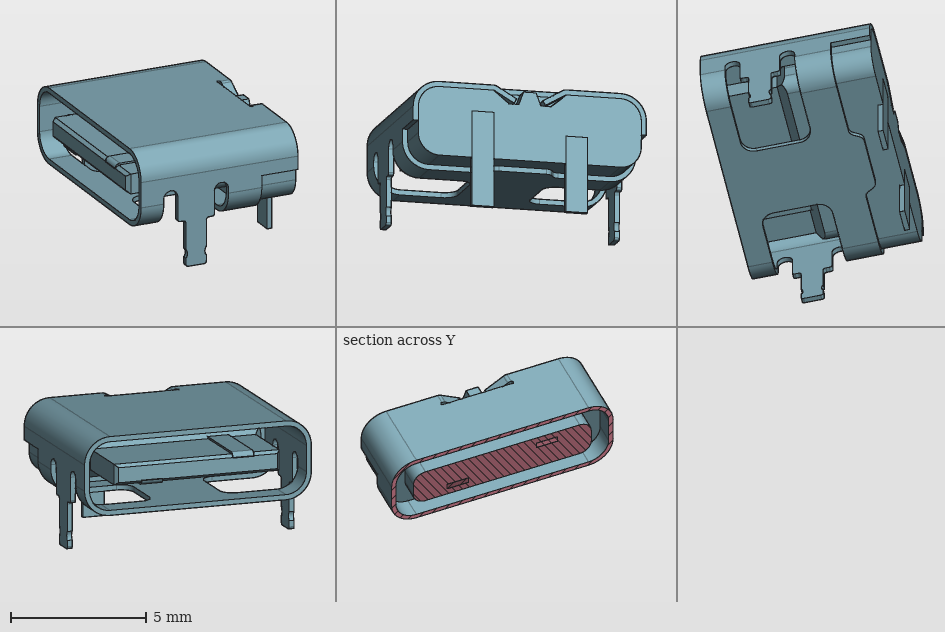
import cadquery as cq
import math


shell_width = 8.95
shell_height = 3.01
shell_depth = 6.43
sheet = 0.2
corner_radius = 1.0
pin_drop = 1.63
mid_height = shell_height / 2
inner_width = shell_width - 2 * sheet
inner_height = shell_height - 2 * sheet
inner_radius = corner_radius - sheet

leg_middle = 2.255
leg_width = 0.84
shoulder_width = 1.5
shoulder_bottom = sheet
leg_corner = 0.1
nick_height = 0.34
nick_depth = 0.06
nick_middle = -1.12
slot_width = 0.57
slot_top = 1.48
cutout_inner_x = 1.39
cutout_radius = 0.5

rear_opening_depth = 1.49
rear_opening_top = 1.48
rear_opening_front = shell_depth - rear_opening_depth
lock_tab_root_width = 2.685
lock_tab_length = 0.47
lock_tab_taper = 30.0
lock_tab_radius = 0.27

notch_width = 2.79
notch_depth = 0.52
notch_front = shell_depth - notch_depth
slit_width = 0.12
slit_rounding = 0.05
slit_overrun = 0.06
tab_width = notch_depth - slit_width
tab_angle = 30.0
bend_radius = 0.27
tab_tip_x = 0.5

tongue_width = 6.52
tongue_height = 0.79
tongue_front = 0.0
tongue_bevel = 0.125
tongue_bevel_depth = 0.15
tongue_bevel_height = 0.11
root_width = 7.19
root_height = 1.51
root_radius = 0.48
root_front = 2.64
root_taper = 0.36
plug_front = 4.385
pocket_floor = 2.33
pocket_slope_foot = 0.8
rib_top_width = 0.48
rib_base_width = 0.84

contact_width = 0.83
contact_x = 1.8
contact_proud = 0.067


def block(x_range, y_range, z_range):
    """Axis-aligned box between the given limits."""
    (x0, x1), (y0, y1), (z0, z1) = x_range, y_range, z_range
    return cq.Workplane("XY").box(x1 - x0, y1 - y0, z1 - z0, centered=False).translate((x0, y0, z0))


def rounded_bar(width, height, radius, y_start, y_end):
    """Bar along Y with a rounded rectangular section, centred on the shell."""
    bar = cq.Workplane("XZ").rect(width, height).extrude(y_start - y_end).edges("|Y").fillet(radius)
    return bar.translate((0, y_start, mid_height))


def mirror_x(body):
    """The body together with its mirror image in the YZ plane."""
    return body.union(body.mirror("YZ"))


def make_leg():
    """Left solder leg: a flat plate with a shoulder and nicked edges."""
    half_shoulder = shoulder_width / 2
    half_leg = leg_width / 2
    nick_top = nick_middle + nick_height / 2
    nick_bottom = nick_middle - nick_height / 2
    half = (
        cq.Workplane("YZ")
        .moveTo(0, slot_top)
        .lineTo(half_shoulder, slot_top)
        .lineTo(half_shoulder, shoulder_bottom)
        .lineTo(half_leg, shoulder_bottom)
        .lineTo(half_leg, nick_top)
        .threePointArc((half_leg - nick_depth, nick_middle), (half_leg, nick_bottom))
        .lineTo(half_leg, -pin_drop)
        .lineTo(0, -pin_drop)
        .close()
        .extrude(sheet)
    )
    rounded_corners = (
        (half_shoulder, shoulder_bottom),
        (half_leg, shoulder_bottom),
        (half_leg, -pin_drop),
    )
    for y, z in rounded_corners:
        corner = cq.selectors.NearestToPointSelector((sheet / 2, y, z))
        half = half.edges("|X").edges(corner).fillet(leg_corner)
    return half.union(half.mirror("XZ")).translate((-shell_width / 2, leg_middle, 0))


def make_leg_cutout():
    """Space left in the left half of the shell by unfolding one leg, with its two relief slots."""
    wall = (-shell_width / 2, corner_radius - shell_width / 2)
    half_length = shoulder_width / 2 + slot_width
    bottom_cut = block(
        (-shell_width / 2, -cutout_inner_x),
        (leg_middle - half_length, leg_middle + half_length),
        (0, sheet),
    ).edges("|Z and >X").fillet(cutout_radius)
    bend_cut = block(
        wall,
        (leg_middle - shoulder_width / 2, leg_middle + shoulder_width / 2),
        (0, corner_radius),
    )
    cutout = bottom_cut.union(bend_cut)
    for side in (-1, 1):
        slot_middle = leg_middle + side * (shoulder_width + slot_width) / 2
        slot_radius = slot_width / 2
        straight = block(
            wall,
            (slot_middle - slot_radius, slot_middle + slot_radius),
            (0, slot_top - slot_radius),
        )
        round_top = (
            cq.Workplane("YZ", origin=(wall[0], slot_middle, slot_top - slot_radius))
            .circle(slot_radius)
            .extrude(corner_radius)
        )
        cutout = cutout.union(straight).union(round_top)
    return cutout


def make_lock_tab():
    """Tapered tab on the rear edge of the shell bottom, with rounded tip corners and roots."""
    root_half = lock_tab_root_width / 2
    root_y = rear_opening_front
    tip_y = root_y + lock_tab_length
    tip_half = root_half - lock_tab_length * math.tan(math.radians(lock_tab_taper))
    base_half = root_half + lock_tab_length
    outline = [
        (-base_half, root_y - lock_tab_length),
        (-base_half, root_y),
        (-root_half, root_y),
        (-tip_half, tip_y),
        (tip_half, tip_y),
        (root_half, root_y),
        (base_half, root_y),
        (base_half, root_y - lock_tab_length),
    ]
    tab = cq.Workplane("XY").polyline(outline).close().extrude(sheet)
    for side in (-1, 1):
        for x, y in ((root_half, root_y), (tip_half, tip_y)):
            corner = cq.selectors.NearestToPointSelector((side * x, y, sheet / 2))
            tab = tab.edges("|Z").edges(corner).fillet(lock_tab_radius)
    return tab


def make_bent_tab():
    """Left tab of the top notch: bends down from the notch edge and slopes towards the middle."""
    angle = math.radians(tab_angle)
    bend_x = -notch_width / 2
    bend_z = shell_height - bend_radius
    inside_radius = bend_radius - sheet

    def on_bend(radius, turn):
        return (bend_x + radius * math.sin(turn), bend_z + radius * math.cos(turn))

    bend_end = on_bend(bend_radius, angle)
    slope_run = -tab_tip_x - bend_end[0]
    tip_top = (-tab_tip_x, bend_end[1] - slope_run * math.tan(angle))
    tip_bottom = (tip_top[0] - sheet * math.sin(angle), tip_top[1] - sheet * math.cos(angle))
    tab = (
        cq.Workplane("XZ")
        .moveTo(bend_x, shell_height)
        .threePointArc(on_bend(bend_radius, angle / 2), bend_end)
        .lineTo(*tip_top)
        .lineTo(*tip_bottom)
        .lineTo(*on_bend(inside_radius, angle))
        .threePointArc(on_bend(inside_radius, angle / 2), (bend_x, shell_height - sheet))
        .close()
        .extrude(-tab_width)
    )
    return tab.translate((0, shell_depth - tab_width, 0))


def make_shell():
    shell = rounded_bar(shell_width, shell_height, corner_radius, 0, shell_depth)
    shell = shell.cut(rounded_bar(inner_width, inner_height, inner_radius, 0, shell_depth))

    half_width = shell_width / 2
    shell = shell.cut(
        block((-half_width, half_width), (rear_opening_front, shell_depth), (0, rear_opening_top))
    )
    shell = shell.union(make_lock_tab())

    half_notch = notch_width / 2
    slit_half = half_notch + slit_overrun
    metal = (shell_height - sheet, shell_height)
    shell = shell.cut(block((-half_notch, half_notch), (notch_front, shell_depth), metal))
    slit = block((-slit_half, slit_half), (notch_front, notch_front + slit_width), metal)
    slit = slit.edges("|Z").fillet(slit_rounding)
    shell = shell.cut(slit)
    shell = shell.union(mirror_x(make_bent_tab()))

    shell = shell.cut(mirror_x(make_leg_cutout()))
    return shell.union(mirror_x(make_leg()))


def make_tongue():
    """Flat tongue with a bevelled front."""
    tongue = block(
        (-tongue_width / 2, tongue_width / 2),
        (tongue_front, plug_front),
        (mid_height - tongue_height / 2, mid_height + tongue_height / 2),
    )
    tip = (
        cq.Workplane("XZ", origin=(0, tongue_front, mid_height))
        .rect(tongue_width - 2 * tongue_bevel, tongue_height - 2 * tongue_bevel_height)
        .workplane(offset=-tongue_bevel_depth)
        .rect(tongue_width, tongue_height)
        .loft(ruled=True)
    )
    behind_tip = block(
        (-tongue_width, tongue_width),
        (tongue_front + tongue_bevel_depth, plug_front),
        (0, shell_height),
    )
    return tongue.intersect(behind_tip).union(tip)


def make_root():
    """Thicker root of the tongue: a rounded bar with four tapered faces at its front."""
    taper = (
        cq.Workplane("XZ", origin=(0, root_front, mid_height))
        .rect(tongue_width, tongue_height)
        .workplane(offset=-root_taper)
        .rect(root_width, root_height)
        .loft(ruled=True)
    )
    full = block(
        (-root_width / 2, root_width / 2),
        (root_front + root_taper, plug_front),
        (mid_height - root_height / 2, mid_height + root_height / 2),
    )
    return taper.union(full).intersect(
        rounded_bar(root_width, root_height, root_radius, root_front, plug_front)
    )


def make_tab_pocket():
    """Left pocket under a bent tab: a sloped side, a flat floor and the side of the middle rib."""
    plug_top = shell_height - sheet
    outline = [
        (-notch_width / 2, plug_top),
        (-pocket_slope_foot, pocket_floor),
        (-rib_base_width / 2, pocket_floor),
        (-rib_top_width / 2, plug_top),
    ]
    return cq.Workplane("XZ", origin=(0, notch_front, 0)).polyline(outline).close().extrude(-notch_depth)


def make_housing(contacts):
    plug = rounded_bar(inner_width, inner_height, inner_radius, plug_front, shell_depth)
    housing = plug.union(make_root()).union(make_tongue())
    housing = housing.cut(mirror_x(make_tab_pocket()))
    for contact in contacts:
        housing = housing.cut(contact)
    return housing


def make_contact(x, side):
    """Contact on the top (side 1) or underside (side -1) of the tongue, with a leg down the back."""
    outer_z = mid_height + side * (tongue_height / 2 + contact_proud)
    inner_z = outer_z - side * sheet
    arc_half = sheet * math.sqrt(0.5)
    strip = (
        cq.Workplane("YZ")
        .moveTo(tongue_front, inner_z)
        .threePointArc(
            (tongue_front + sheet - arc_half, inner_z + side * arc_half),
            (tongue_front + sheet, outer_z),
        )
        .lineTo(shell_depth, outer_z)
        .lineTo(shell_depth, inner_z)
        .close()
        .extrude(contact_width)
        .translate((x - contact_width / 2, 0, 0))
    )
    leg = block(
        (x - contact_width / 2, x + contact_width / 2),
        (shell_depth - sheet, shell_depth),
        (-pin_drop, max(outer_z, inner_z)),
    )
    return strip.union(leg)


contacts = [make_contact(side * contact_x, side) for side in (-1, 1)]
shell = make_shell()
housing = make_housing(contacts)

result = cq.Compound.makeCompound([shell.val(), housing.val(), *[contact.val() for contact in contacts]])